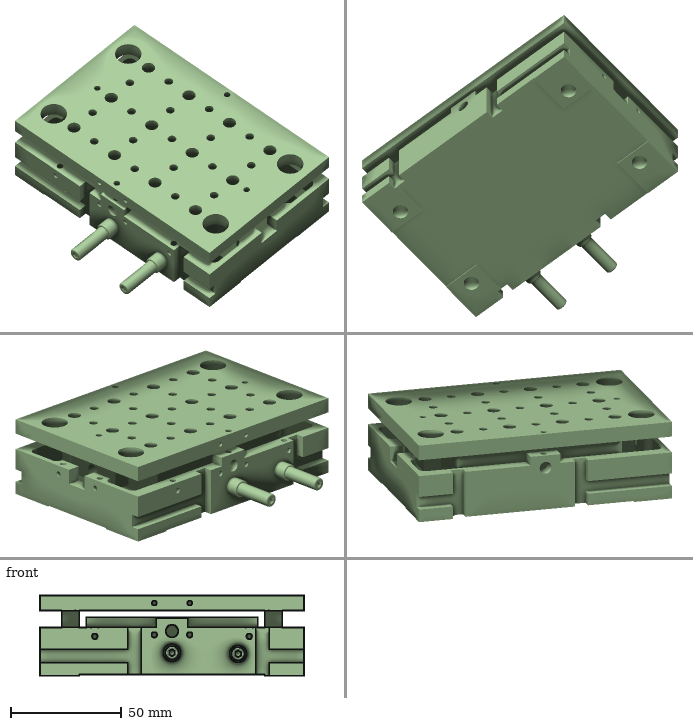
import cadquery as cq
import math

LENGTH = 120.0
WIDTH = 80.0
TOTAL_HEIGHT = 36.5
PLATE_THICKNESS = 7.0
PLATE_BOTTOM = TOTAL_HEIGHT - PLATE_THICKNESS
HOLE_PITCH = 12.5
LARGE_HOLE_DIA = 6.0
SMALL_HOLE_DIA = 4.0
BOLT_ACCESS_DIA = 12.0
EDGE_HOLE_DIA = 2.2
EDGE_HOLE_X = 8.0
POST_THICKNESS = 8.0
POST_WIDTH = 30.0
POST_OUTER_X = 50.0
POST_BOTTOM = 15.4
POST_X = POST_OUTER_X - POST_THICKNESS / 2

PIVOT_DIA = 5.6
PIVOT_Z = 20.3
SET_SCREW_DIA = 3.0
TAB_SCREW_Y = 37.0

BASE_HEIGHT = 22.0
CAVITY_FLOOR = 12.0
CAVITY_HALF_LENGTH = 53.9
CAVITY_HALF_WIDTH = 34.0
POCKET_END_X = 57.5
POCKET_INNER_X = POST_X
POCKET_INNER_Y = 15.5
POCKET_RADIUS = 3.0
NOTCH_WIDTH = 10.2
NOTCH_FLOOR = 15.0
BOLT_HOLE_DIA = 7.0
FOOT_HEIGHT = 0.5
FOOT_INNER_X = 42.0
FOOT_INNER_Y = 19.0

BLOCK_LENGTH = 78.0
BLOCK_WIDTH = 62.0
BLOCK_TOP = 26.6
TAB_WIDTH = 14.3
TAB_TOP = 26.2

SLOT_BOTTOM = 6.0
SLOT_TOP = 12.0
SLOT_DEPTH = 4.0
GROOVE_WIDTH = 6.0
BOSS_LEFT = -14.0
BOSS_RIGHT = 38.0

WALL_HOLE_DIA = 2.5
WALL_HOLE_DEPTH = 5.0
WALL_HOLE_Z = 17.9
WALL_SCREW_X = 35.0
WALL_SCREW_Y = 12.0
SIDE_SCREW_INSET = 3.0
SPRING_HOLE_Z = 18.6

ADJUSTERS = [(0, 10.5, 8.0, 6.1), (30.0, 10.0, 7.8, 6.0)]
ADJUSTER_LENGTH = 25.0
COLLAR_LENGTH = 5.8
COLLAR_ROUND = 0.6
SHAFT_ROUND = 0.7
SOCKET_SIDES = 6
SOCKET_DIA = 3.1
SOCKET_DEPTH = 3.0
SOCKET_POINT_DEPTH = 0.8


def box(x_min, x_max, y_min, y_max, z_min, z_max):
    size = (x_max - x_min, y_max - y_min, z_max - z_min)
    return cq.Workplane("XY").box(*size, centered=False).translate((x_min, y_min, z_min))


def centered_box(length, width, z_min, z_max):
    return box(-length / 2, length / 2, -width / 2, width / 2, z_min, z_max)


def hole_down(points, diameter, z_top, z_bottom):
    circles = cq.Workplane("XY").workplane(offset=z_bottom).pushPoints(points).circle(diameter / 2)
    return circles.extrude(z_top - z_bottom)


def rod_along_x(x_min, x_max, y, z, diameter):
    circle = cq.Workplane("YZ").workplane(offset=x_min).center(y, z).circle(diameter / 2)
    return circle.extrude(x_max - x_min)


def rod_along_y(y_min, y_max, x, z, diameter):
    circle = cq.Workplane("XZ").workplane(offset=-y_max).center(x, z).circle(diameter / 2)
    return circle.extrude(y_max - y_min)


BOLT_POINTS = [(sx * 4 * HOLE_PITCH, sy * 2 * HOLE_PITCH) for sx in (-1, 1) for sy in (-1, 1)]
TAB_SCREW_POINTS = [(0, -TAB_SCREW_Y), (0, TAB_SCREW_Y)]


def plate_holes():
    """Mounting grid: rows of alternating hole sizes, with short rows of small holes between."""
    large = []
    small = []
    for row in (-2, 0, 2):
        large += [(column * HOLE_PITCH, row * HOLE_PITCH) for column in (-3, -1, 1, 3)]
        small += [(column * HOLE_PITCH, row * HOLE_PITCH) for column in (-2, 0, 2)]
    for row in (-1, 1):
        small += [(column * HOLE_PITCH, row * HOLE_PITCH) for column in (-3, -1, 1, 3)]
    holes = hole_down(large, LARGE_HOLE_DIA, TOTAL_HEIGHT, PLATE_BOTTOM)
    holes = holes.union(hole_down(small, SMALL_HOLE_DIA, TOTAL_HEIGHT, PLATE_BOTTOM))
    holes = holes.union(hole_down(BOLT_POINTS, BOLT_ACCESS_DIA, TOTAL_HEIGHT, PLATE_BOTTOM))
    return holes.union(hole_down(TAB_SCREW_POINTS, SET_SCREW_DIA, TOTAL_HEIGHT, PLATE_BOTTOM))


def make_platform():
    """Top plate with a hanging pivot post near each end."""
    platform = centered_box(LENGTH, WIDTH, PLATE_BOTTOM, TOTAL_HEIGHT)
    for side in (-1, 1):
        post = centered_box(POST_THICKNESS, POST_WIDTH, POST_BOTTOM, PLATE_BOTTOM)
        platform = platform.union(post.translate((side * POST_X, 0, 0)))
    platform = platform.cut(plate_holes())
    post_screws = [(-POST_X, 0), (POST_X, 0)]
    platform = platform.cut(hole_down(post_screws, SET_SCREW_DIA, TOTAL_HEIGHT, PIVOT_Z))
    platform = platform.cut(rod_along_x(-LENGTH / 2, LENGTH / 2, 0, PIVOT_Z, PIVOT_DIA))
    edge_z = PLATE_BOTTOM + PLATE_THICKNESS / 2
    for x in (-EDGE_HOLE_X, EDGE_HOLE_X):
        edge_hole = rod_along_y(-WIDTH / 2, -WIDTH / 2 + WALL_HOLE_DEPTH, x, edge_z, EDGE_HOLE_DIA)
        platform = platform.cut(edge_hole)
    return platform


def frame_cavity():
    """Open cavity, widened by a rounded pocket around each mounting bolt."""
    cavity = centered_box(2 * CAVITY_HALF_LENGTH, 2 * CAVITY_HALF_WIDTH, CAVITY_FLOOR, BASE_HEIGHT)
    pocket = box(
        POCKET_INNER_X, POCKET_END_X, POCKET_INNER_Y, CAVITY_HALF_WIDTH, CAVITY_FLOOR, BASE_HEIGHT
    ).edges("|Z").fillet(POCKET_RADIUS)
    pocket_pair = pocket.union(pocket.mirror("XZ"))
    return cavity.union(pocket_pair).union(pocket_pair.mirror("YZ"))


def clamping_slots():
    """Slots along both long sides, plus upright grooves that set off a boss."""
    front = -WIDTH / 2
    inner = front + SLOT_DEPTH
    groove_left = BOSS_LEFT - GROOVE_WIDTH
    groove_right = BOSS_RIGHT + GROOVE_WIDTH
    slots = box(-LENGTH / 2, groove_left, front, inner, SLOT_BOTTOM, SLOT_TOP)
    slots = slots.union(box(groove_right, LENGTH / 2, front, inner, SLOT_BOTTOM, SLOT_TOP))
    slots = slots.union(box(groove_left, BOSS_LEFT, front, inner, 0, BASE_HEIGHT))
    slots = slots.union(box(BOSS_RIGHT, groove_right, front, inner, 0, BASE_HEIGHT))
    return slots.union(slots.mirror("XZ"))


def wall_holes():
    """Face holes in the front and left walls, some met by a set screw hole from above."""
    front = -WIDTH / 2
    front_end = front + WALL_HOLE_DEPTH
    left = -LENGTH / 2
    left_end = left + WALL_HOLE_DEPTH
    holes = cq.Workplane("XY")
    for side in (-1, 1):
        front_hole = rod_along_y(front, front_end, side * WALL_SCREW_X, WALL_HOLE_Z, WALL_HOLE_DIA)
        spring_hole = rod_along_y(front, front_end, side * EDGE_HOLE_X, SPRING_HOLE_Z, WALL_HOLE_DIA)
        left_hole = rod_along_x(left, left_end, side * WALL_SCREW_Y, WALL_HOLE_Z, WALL_HOLE_DIA)
        holes = holes.add(front_hole).add(spring_hole).add(left_hole)
    screw_points = [(side * WALL_SCREW_X, -TAB_SCREW_Y) for side in (-1, 1)]
    screw_points += [(left + SIDE_SCREW_INSET, side * WALL_SCREW_Y) for side in (-1, 1)]
    screws = hole_down(screw_points, SET_SCREW_DIA, BASE_HEIGHT, WALL_HOLE_Z)
    return holes.add(screws).combine()


def front_tab():
    """Raised tab on the front wall, before its pivot bore and set screw hole."""
    return box(-TAB_WIDTH / 2, TAB_WIDTH / 2, -WIDTH / 2, -CAVITY_HALF_WIDTH, BASE_HEIGHT, TAB_TOP)


def hex_socket(x, z, mouth_y):
    """Hexagonal socket with upright flats and a drill point at its bottom."""
    bottom_y = mouth_y + SOCKET_DEPTH
    hexagon = cq.Workplane("XZ").workplane(offset=-bottom_y).polygon(SOCKET_SIDES, SOCKET_DIA)
    prism = hexagon.extrude(SOCKET_DEPTH).rotate((0, 0, 0), (0, 1, 0), 180 / SOCKET_SIDES)
    flat_radius = SOCKET_DIA / 2 * math.cos(math.pi / SOCKET_SIDES)
    point_base = cq.Vector(0, bottom_y, 0)
    point = cq.Solid.makeCone(flat_radius, 0, SOCKET_POINT_DEPTH, point_base, cq.Vector(0, 1, 0))
    return prism.union(cq.Workplane(obj=point)).translate((x, 0, z))


def adjuster(x, z, collar_dia, shaft_dia):
    """Adjusting screw standing out of the boss, with a socket in its end."""
    face = -WIDTH / 2
    tip = face - ADJUSTER_LENGTH
    collar = rod_along_y(face - COLLAR_LENGTH, face, x, z, collar_dia).faces("<Y").fillet(COLLAR_ROUND)
    shaft = rod_along_y(tip, face, x, z, shaft_dia).faces("<Y").fillet(SHAFT_ROUND)
    return collar.union(shaft).cut(hex_socket(x, z, tip))


def make_base():
    """Frame with the central block, pivot tabs and adjusters."""
    base = centered_box(LENGTH, WIDTH, 0, BASE_HEIGHT)
    base = base.cut(frame_cavity())
    base = base.cut(clamping_slots())
    base = base.cut(centered_box(LENGTH, NOTCH_WIDTH, NOTCH_FLOOR, BASE_HEIGHT))

    base = base.cut(centered_box(2 * FOOT_INNER_X, WIDTH, 0, FOOT_HEIGHT))
    base = base.cut(centered_box(LENGTH, 2 * FOOT_INNER_Y, 0, FOOT_HEIGHT))

    block = centered_box(BLOCK_LENGTH, BLOCK_WIDTH, CAVITY_FLOOR, BLOCK_TOP)
    block = block.cut(centered_box(BLOCK_LENGTH, NOTCH_WIDTH, CAVITY_FLOOR, POST_BOTTOM))
    base = base.union(block)

    tab = front_tab()
    base = base.union(tab).union(tab.mirror("XZ"))
    base = base.cut(hole_down(TAB_SCREW_POINTS, SET_SCREW_DIA, TAB_TOP, PIVOT_Z))
    front_pivot = rod_along_y(-WIDTH / 2, -CAVITY_HALF_WIDTH, 0, PIVOT_Z, PIVOT_DIA)
    base = base.cut(front_pivot).cut(front_pivot.mirror("XZ"))

    base = base.cut(wall_holes())
    base = base.cut(hole_down(BOLT_POINTS, BOLT_HOLE_DIA, CAVITY_FLOOR, 0))
    for placement in ADJUSTERS:
        base = base.union(adjuster(*placement))
    return base


platform = make_platform()
base = make_base()
result = cq.Compound.makeCompound([base.solids().val(), platform.solids().val()])